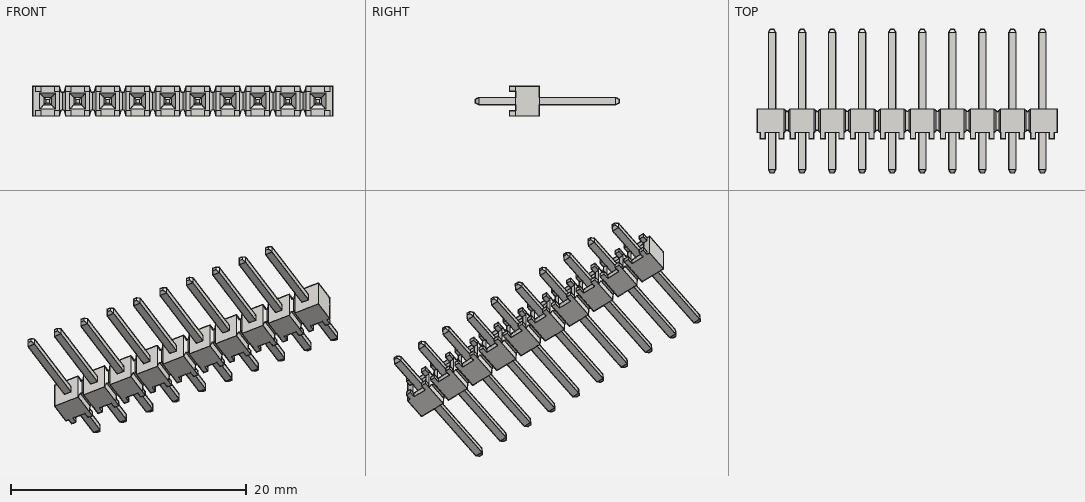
import cadquery as cq

pin_count = 10
pitch = 2.55
length = pin_count * pitch
height = 2.55

body_depth = 2.0
body_front = 0.0
body_back = body_front + body_depth

groove_width = 0.53
groove_depth = 0.5
groove_floor_width = 0.25
notch_depth = 0.23

foot_width = 0.43
foot_height = 0.45
foot_length = 0.53
foot_outer_edge = (pitch - groove_width) / 2

pocket_size = 1.35
pocket_depth = 0.35

pin_size = 0.64
pin_length = 12.2
pin_front_reach = 3.43
tip_length = 0.3
tip_size = 0.3

cell_centers = [(i + 0.5) * pitch - length / 2 for i in range(pin_count)]
joint_positions = [x + pitch / 2 for x in cell_centers[:-1]]


def box_at(x, y_start, z, size_x, size_y, size_z):
    """Box centred on x and z that extends from y_start toward +Y."""
    return cq.Workplane("XY").box(size_x, size_y, size_z).translate((x, y_start + size_y / 2, z))


def square_frustum(x, y_start, size_start, y_end, size_end):
    """Square section centred on the pin axis, tapering from y_start to y_end."""
    return (
        cq.Workplane("XZ", origin=(x, y_start, 0))
        .rect(size_start, size_start)
        .workplane(offset=y_start - y_end)
        .rect(size_end, size_end)
        .loft(ruled=True)
    )


def face_groove(x, side):
    """Steep-sided groove across the top (side=1) or bottom (side=-1) face."""
    edge_z = side * height / 2
    floor_z = side * (height / 2 - groove_depth)
    half_mouth = groove_width / 2
    half_floor = groove_floor_width / 2
    return (
        cq.Workplane("XZ", origin=(x, body_back, 0))
        .polyline([(-half_mouth, edge_z), (half_mouth, edge_z), (half_floor, floor_z), (-half_floor, floor_z)])
        .close()
        .extrude(body_depth)
    )


def end_notch(x, y_face, inward):
    """V notch running the full height of the front or back face."""
    half_mouth = groove_width / 2
    return (
        cq.Workplane("XY", origin=(x, y_face, -height / 2))
        .polyline([(-half_mouth, 0), (half_mouth, 0), (0, inward * notch_depth)])
        .close()
        .extrude(height)
    )


def feet(x):
    """Four standoff feet in front of one cell."""
    foot_x = foot_outer_edge - foot_width / 2
    foot_z = (height - foot_height) / 2
    return [
        box_at(x + side_x * foot_x, body_front - foot_length, side_z * foot_z,
               foot_width, foot_length, foot_height)
        for side_x in (-1, 1)
        for side_z in (-1, 1)
    ]


def pin(x):
    """Square pin with a tapered tip at both ends."""
    front_tip = body_front - pin_front_reach
    back_tip = front_tip + pin_length
    shank = box_at(x, front_tip + tip_length, 0, pin_size, pin_length - 2 * tip_length, pin_size)
    return (
        shank
        .union(square_frustum(x, front_tip, tip_size, front_tip + tip_length, pin_size))
        .union(square_frustum(x, back_tip - tip_length, pin_size, back_tip, tip_size))
    )


result = box_at(0, body_front, 0, length, body_depth, height)

for joint in joint_positions:
    result = result.cut(face_groove(joint, 1)).cut(face_groove(joint, -1))
    result = result.cut(end_notch(joint, body_front, 1)).cut(end_notch(joint, body_back, -1))

for center in cell_centers:
    result = result.cut(square_frustum(center, body_front, pocket_size, body_front + pocket_depth, pin_size))
    for foot in feet(center):
        result = result.union(foot)
    result = result.union(pin(center))